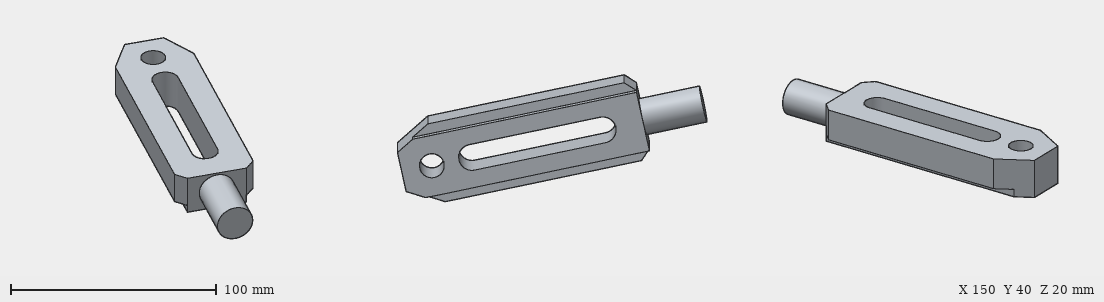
import cadquery as cq
import math

body_length = 120.0
body_width = 40.0
body_height = 20.0
nose_width = 20.0
nose_angle = 30.0
rear_chamfer = 5.0

foot_width = 30.0
foot_height = 4.0

pin_diameter = 18.0
pin_length = 30.0

hole_diameter = 12.0
hole_x = 15.0
slot_length = 78.0
slot_width = 13.0
slot_center_x = 67.5

half_width = body_width / 2
half_nose = nose_width / 2
nose_length = (half_width - half_nose) / math.tan(math.radians(nose_angle))


def make_body():
    """Bar with tapered nose and chamfered rear corners, underside at Z = 0."""
    upper_side = [
        (0, half_nose),
        (nose_length, half_width),
        (body_length - rear_chamfer, half_width),
        (body_length, half_width - rear_chamfer),
    ]
    lower_side = [(x, -y) for x, y in reversed(upper_side)]
    return cq.Workplane("XY").polyline(upper_side + lower_side).close().extrude(body_height)


def make_rebate(side):
    """Cutter for the step along one lower edge; side is +1 or -1 in Y."""
    depth = (body_width - foot_width) / 2
    center_y = side * (foot_width + depth) / 2
    return (
        cq.Workplane("XY")
        .center(body_length / 2, center_y)
        .rect(body_length, depth)
        .extrude(foot_height)
    )


def make_pin():
    """Cylinder along X, centred on the rear face of the body."""
    return (
        cq.Workplane("YZ", origin=(body_length, 0, body_height / 2))
        .circle(pin_diameter / 2)
        .extrude(pin_length)
    )


def make_hole():
    return cq.Workplane("XY").center(hole_x, 0).circle(hole_diameter / 2).extrude(body_height)


def make_slot():
    return (
        cq.Workplane("XY")
        .center(slot_center_x, 0)
        .slot2D(slot_length, slot_width)
        .extrude(body_height)
    )


result = make_body()
for side in (1, -1):
    result = result.cut(make_rebate(side))
result = result.union(make_pin())
result = result.cut(make_hole()).cut(make_slot())